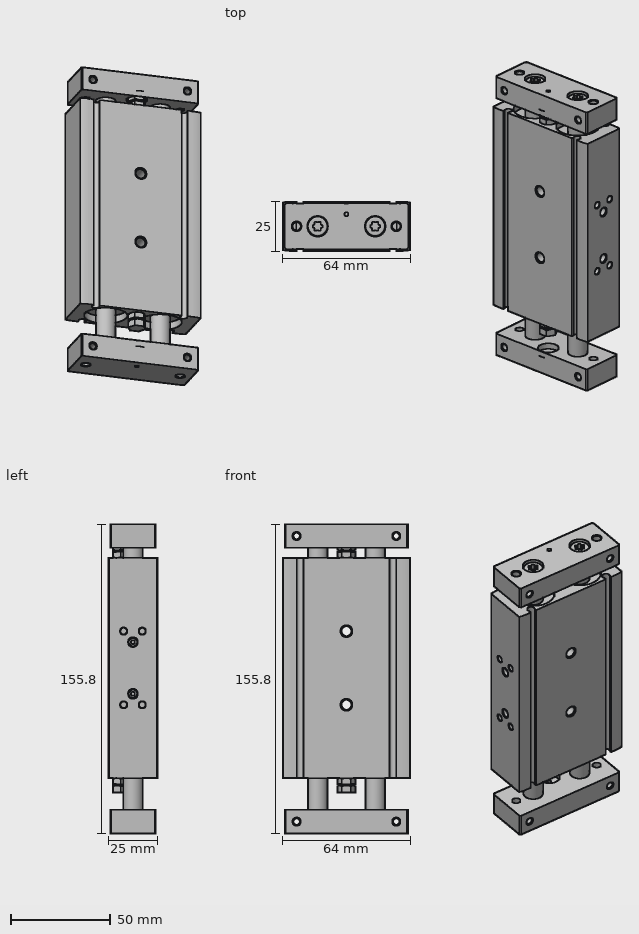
import cadquery as cq
import math

TOTAL_LENGTH = 155.8
HOUSING_WIDTH = 64.0
HOUSING_DEPTH = 25.0
HOUSING_TOP = 60.9
HOUSING_BOTTOM = -50.0
HOUSING_LENGTH = HOUSING_TOP - HOUSING_BOTTOM
HOUSING_MIDDLE = (HOUSING_TOP + HOUSING_BOTTOM) / 2
PLATE_WIDTH = 62.2
PLATE_DEPTH = 23.0
PLATE_THICKNESS = 12.0
PLATE_CHAMFER = 0.6
PLATE_OUTER_Z = TOTAL_LENGTH / 2
PLATE_INNER_Z = PLATE_OUTER_Z - PLATE_THICKNESS
ROD_DIAMETER = 10.0
ROD_X = 14.5

STRIP_EDGE_X = 28.0
STRIP_RADIUS = 15.6
SLOT_X = 23.4
SLOT_OPENING = 3.3
SLOT_DIAMETER = 3.7
SLOT_CENTRE_DEPTH = 2.2

MOUNT_PITCH = 37.1
MOUNT_HOLE = 5.0
MOUNT_COUNTERSINK = 6.0
SIDE_HOLE = 3.3
SIDE_COUNTERSINK = 3.7
SIDE_HOLE_DEPTH = 6.2
SIDE_HOLE_Y = 4.7
PORT_PITCH = 26.0
PORT_MOUTH = 5.0
PORT_HOLE = 4.2
PORT_DEPTH = 5.0
PORT_DUCT = 2.0

GLAND_DIAMETER = 21.8
GLAND_DEPTH = 3.9

PLATE_HOLE_X = 25.1
CROSS_HOLE = 3.3
CROSS_COUNTERSINK = 4.2
AXIAL_HOLE = 4.2
AXIAL_COUNTERSINK = 5.0
BUMPER_RECESS = 10.5
BUMPER_RECESS_DEPTH = 3.1
VENT_HOLE = 2.0

HEAD_DIAMETER = 9.8
HEAD_HEIGHT = 5.9
HEAD_SINK = 1.0
HEAD_FILLET = 1.0
SHANK_DIAMETER = 5.9
COUNTERBORE = 10.5
SOCKET_DEPTH = 3.1
SOCKET_CORE = 3.9
LOBE_COUNT = 6
LOBE_DIAMETER = 1.4
LOBE_CENTRE_RADIUS = 1.9
HEAD_TOP = PLATE_OUTER_Z - HEAD_SINK
HEAD_SEAT = HEAD_TOP - HEAD_HEIGHT

STOP_Y = 6.0
HEX_SIDES = 6
HEX_FLATS = 8.0
HEX_CORNERS = HEX_FLATS / math.cos(math.pi / HEX_SIDES)
HEX_CHAMFER_ANGLE = math.radians(30)
STOP_THREAD = 5.0
STOP_THREAD_DEPTH = 9.3
NUT_HEIGHT = 3.0
NECK_LENGTH = 0.8
STOP_PROJECTION = 7.3


def cylinder(diameter, x, y, z_low, z_high):
    """Cylinder parallel to Z between two heights."""
    base = cq.Workplane("XY", origin=(x, y, z_low))
    return base.circle(diameter / 2).extrude(z_high - z_low)


def drill(diameter, start, direction, length, mouth=0.0):
    """Cylinder from start along direction, widening at 45 degrees to the mouth diameter."""
    origin = cq.Vector(*start)
    axis = cq.Vector(*direction)
    tool = cq.Workplane(cq.Solid.makeCylinder(diameter / 2, length, origin, axis))
    if mouth > diameter:
        sink_depth = (mouth - diameter) / 2
        sink = cq.Solid.makeCone(mouth / 2, diameter / 2, sink_depth, origin, axis)
        tool = tool.union(cq.Workplane(sink))
    return tool


def strip_drop(width):
    """Fall of the curved corner strip at a distance from its tangent edge."""
    return STRIP_RADIUS - math.sqrt(STRIP_RADIUS**2 - width**2)


def strip_waste(side_x, side_y):
    """Sliver removed from one long housing corner to leave the curved strip."""
    half_width = HOUSING_WIDTH / 2
    half_depth = HOUSING_DEPTH / 2
    width = half_width - STRIP_EDGE_X
    middle = (side_x * (STRIP_EDGE_X + width / 2), side_y * (half_depth - strip_drop(width / 2)))
    end = (side_x * half_width, side_y * (half_depth - strip_drop(width)))
    outline = cq.Workplane("XY", origin=(0, 0, HOUSING_BOTTOM))
    outline = outline.moveTo(side_x * STRIP_EDGE_X, side_y * half_depth).threePointArc(middle, end)
    return outline.lineTo(side_x * half_width, side_y * half_depth).close().extrude(HOUSING_LENGTH)


def slot_cutter(x, side_y):
    """Sensor slot: a round channel with a slightly narrower opening."""
    centre_y = side_y * (HOUSING_DEPTH / 2 - SLOT_CENTRE_DEPTH)
    opening_y = centre_y + side_y * SLOT_CENTRE_DEPTH / 2
    opening = cq.Workplane("XY", origin=(x, opening_y, HOUSING_MIDDLE))
    opening = opening.box(SLOT_OPENING, SLOT_CENTRE_DEPTH, HOUSING_LENGTH)
    return opening.union(cylinder(SLOT_DIAMETER, x, centre_y, HOUSING_BOTTOM, HOUSING_TOP))


def cut_housing_profile(body):
    for side_y in (-1, 1):
        for side_x in (-1, 1):
            body = body.cut(strip_waste(side_x, side_y))
            body = body.cut(slot_cutter(side_x * SLOT_X, side_y))
    return body


def cut_housing_holes(body):
    half_width = HOUSING_WIDTH / 2
    half_depth = HOUSING_DEPTH / 2
    inward = (1, 0, 0)
    for end in (-1, 1):
        mount_z = HOUSING_MIDDLE + end * MOUNT_PITCH / 2
        port_z = HOUSING_MIDDLE + end * PORT_PITCH / 2
        for side in (-1, 1):
            mount_start = (0, side * half_depth, mount_z)
            side_start = (-half_width, side * SIDE_HOLE_Y, mount_z)
            body = body.cut(drill(MOUNT_HOLE, mount_start, (0, -side, 0), HOUSING_DEPTH, MOUNT_COUNTERSINK))
            body = body.cut(drill(SIDE_HOLE, side_start, inward, SIDE_HOLE_DEPTH, SIDE_COUNTERSINK))
        port_start = (-half_width, 0, port_z)
        body = body.cut(drill(PORT_HOLE, port_start, inward, PORT_DEPTH, PORT_MOUTH))
        body = body.cut(drill(PORT_DUCT, port_start, inward, half_width - ROD_X))
    return body


def cut_housing_bores(body):
    for x in (-ROD_X, ROD_X):
        body = body.cut(cylinder(ROD_DIAMETER, x, 0, HOUSING_BOTTOM, HOUSING_TOP))
        body = body.cut(cylinder(GLAND_DIAMETER, x, 0, HOUSING_TOP - GLAND_DEPTH, HOUSING_TOP))
        body = body.cut(cylinder(GLAND_DIAMETER, x, 0, HOUSING_BOTTOM, HOUSING_BOTTOM + GLAND_DEPTH))
    body = body.cut(cylinder(STOP_THREAD, 0, STOP_Y, HOUSING_TOP - STOP_THREAD_DEPTH, HOUSING_TOP))
    return body.cut(cylinder(STOP_THREAD, 0, STOP_Y, HOUSING_BOTTOM, HOUSING_BOTTOM + STOP_THREAD_DEPTH))


def make_housing():
    block = cq.Workplane("XY", origin=(0, 0, HOUSING_MIDDLE))
    body = block.box(HOUSING_WIDTH, HOUSING_DEPTH, HOUSING_LENGTH)
    body = cut_housing_profile(body)
    body = cut_housing_holes(body)
    return cut_housing_bores(body)


def make_plate(end):
    """End plate; end is 1 for the top plate and -1 for the bottom plate."""
    outer = end * PLATE_OUTER_Z
    inner = end * PLATE_INNER_Z
    middle = (outer + inner) / 2
    inward = (0, 0, -end)
    plate = cq.Workplane("XY", origin=(0, 0, middle)).box(PLATE_WIDTH, PLATE_DEPTH, PLATE_THICKNESS)
    plate = plate.edges("|Z").chamfer(PLATE_CHAMFER)
    for x in (-PLATE_HOLE_X, PLATE_HOLE_X):
        plate = plate.cut(drill(AXIAL_HOLE, (x, 0, outer), inward, PLATE_THICKNESS, AXIAL_COUNTERSINK))
        for side in (-1, 1):
            start = (x, side * PLATE_DEPTH / 2, middle)
            plate = plate.cut(drill(CROSS_HOLE, start, (0, -side, 0), PLATE_DEPTH, CROSS_COUNTERSINK))
    plate = plate.cut(drill(VENT_HOLE, (0, STOP_Y, outer), inward, PLATE_THICKNESS))
    return plate.cut(drill(BUMPER_RECESS, (0, STOP_Y, inner), (0, 0, end), BUMPER_RECESS_DEPTH))


def make_top_plate():
    plate = make_plate(1)
    for x in (-ROD_X, ROD_X):
        plate = plate.cut(cylinder(COUNTERBORE, x, 0, HEAD_SEAT, PLATE_OUTER_Z))
        plate = plate.cut(cylinder(SHANK_DIAMETER, x, 0, PLATE_INNER_Z, HEAD_SEAT))
    return plate


def make_socket(x):
    """Six-lobed drive socket in a screw head."""
    bottom = HEAD_TOP - SOCKET_DEPTH
    socket = cylinder(SOCKET_CORE, x, 0, bottom, HEAD_TOP)
    for i in range(LOBE_COUNT):
        angle = 2 * math.pi * i / LOBE_COUNT
        lobe_x = x + LOBE_CENTRE_RADIUS * math.cos(angle)
        lobe_y = LOBE_CENTRE_RADIUS * math.sin(angle)
        socket = socket.union(cylinder(LOBE_DIAMETER, lobe_x, lobe_y, bottom, HEAD_TOP))
    return socket


def make_rod(x):
    """Rod between the plates, with its shank and socket head in the top plate."""
    rod = cylinder(ROD_DIAMETER, x, 0, -PLATE_INNER_Z, PLATE_INNER_Z)
    shank = cylinder(SHANK_DIAMETER, x, 0, PLATE_INNER_Z, HEAD_SEAT)
    head = cylinder(HEAD_DIAMETER, x, 0, HEAD_SEAT, HEAD_TOP)
    head = head.faces(">Z").edges().fillet(HEAD_FILLET).cut(make_socket(x))
    return rod.union(shank).union(head)


def hexagon(low, high):
    """Hexagon bar on the Z axis, its corners cut by a cone at the lower end."""
    prism = cq.Workplane("XY", origin=(0, 0, low)).polygon(HEX_SIDES, HEX_CORNERS).extrude(high - low)
    inset = (HEX_CORNERS - HEX_FLATS) / 2
    drop = inset * math.tan(HEX_CHAMFER_ANGLE)
    blank = cylinder(HEX_CORNERS, 0, 0, low, high).faces("<Z").edges().chamfer(drop, inset)
    return prism.intersect(blank)


def make_stop(end):
    """Stop bolt with its lock nut, screwed into one end of the housing."""
    head_low = NUT_HEIGHT + NECK_LENGTH
    thread = cylinder(STOP_THREAD, 0, 0, -STOP_THREAD_DEPTH, head_low)
    stop = thread.union(hexagon(0, NUT_HEIGHT)).union(hexagon(head_low, STOP_PROJECTION))
    if end < 0:
        return stop.mirror("XY").translate((0, STOP_Y, HOUSING_BOTTOM))
    return stop.translate((0, STOP_Y, HOUSING_TOP))


housing = make_housing()
top_plate = make_top_plate()
bottom_plate = make_plate(-1)
rods = [make_rod(x).val() for x in (-ROD_X, ROD_X)]
stops = [make_stop(end).val() for end in (-1, 1)]
result = cq.Compound.makeCompound([housing.val(), top_plate.val(), bottom_plate.val(), *rods, *stops])